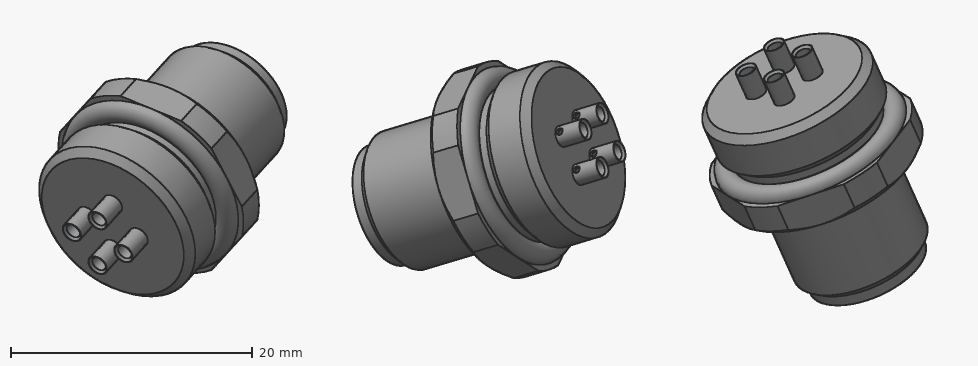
import cadquery as cq
import math

pins_front = 0
body_front = 2.41
body_back = 6.94
hex_front = 8.47
hex_back = 11.49
collar_back = 11.72
shank_back = 20.5
nose_back = 21.55

body_diameter = 15.2
groove_diameter = 13.5
collar_diameter = 12.28
shank_diameter = 12.0
nose_diameter = 10.45
body_chamfer = 0.7
shank_chamfer = 0.6

hex_across_flats = 17.0
hex_corner_diameter = 18.0
hex_chamfer = 0.54

ring_outer_diameter = 17.0
ring_section_radius = 1.01
ring_center_radius = ring_outer_diameter / 2 - ring_section_radius

pin_circle_radius = 2.5
pin_angles = [0, 90, 180, 270]
pin_diameter = 1.8
cup_diameter = 1.3
cup_mouth_chamfer = 0.22
cup_depth = 2.26
cup_tip_angle = 120
cup_tip_depth = cup_diameter / 2 / math.tan(math.radians(cup_tip_angle / 2))
vent_diameter = 0.6
vent_distance = 1.98


def cylinder(diameter, start, end):
    """Cylinder around the Y axis, from Y = start to Y = end."""
    plane = cq.Workplane("XZ", origin=(0, start, 0))
    return plane.circle(diameter / 2).extrude(start - end)


def cone(start_diameter, end_diameter, start, end):
    """Truncated cone around the Y axis, from Y = start to Y = end."""
    return cq.Workplane(
        cq.Solid.makeCone(
            start_diameter / 2,
            end_diameter / 2,
            end - start,
            cq.Vector(0, start, 0),
            cq.Vector(0, 1, 0),
        )
    )


def make_hexagon():
    flats = (
        cq.Workplane("XZ", origin=(0, hex_front, 0))
        .polygon(6, hex_across_flats, circumscribed=True)
        .extrude(hex_front - hex_back)
        .rotate((0, 0, 0), (0, 1, 0), 30)
    )
    turned_blank = cylinder(hex_corner_diameter, hex_front, hex_back)
    turned_blank = turned_blank.faces(">Y").chamfer(hex_chamfer)
    return flats.intersect(turned_blank)


def make_sealing_ring():
    return (
        cq.Workplane("XY")
        .center(ring_center_radius, hex_front)
        .circle(ring_section_radius)
        .revolve(360, (-ring_center_radius, 0), (-ring_center_radius, 1))
    )


def make_body():
    front_disc = cylinder(body_diameter, body_front, body_back).edges().chamfer(body_chamfer)
    groove = cylinder(groove_diameter, body_back, hex_front)
    collar = cone(collar_diameter, shank_diameter, hex_back, collar_back)
    shank = cylinder(shank_diameter, hex_back, shank_back)
    shank = shank.faces(">Y").chamfer(shank_chamfer)
    nose = cylinder(nose_diameter, shank_back, nose_back)
    body = front_disc.union(groove).union(make_hexagon()).union(make_sealing_ring())
    return body.union(collar).union(shank).union(nose)


def make_cup():
    """Cutter for a solder cup on the Y axis: chamfered mouth, bore and conical bottom."""
    bore_radius = cup_diameter / 2
    return (
        cq.Workplane("XY")
        .moveTo(0, pins_front)
        .lineTo(bore_radius + cup_mouth_chamfer, pins_front)
        .lineTo(bore_radius, pins_front + cup_mouth_chamfer)
        .lineTo(bore_radius, cup_depth)
        .lineTo(0, cup_depth + cup_tip_depth)
        .close()
        .revolve(360, (0, 0), (0, 1))
    )


def make_vent():
    """Cutter for the vent hole from the -X side of a pin into its cup."""
    return (
        cq.Workplane("YZ", origin=(-pin_diameter / 2, 0, 0))
        .center(vent_distance, 0)
        .circle(vent_diameter / 2)
        .extrude(pin_diameter / 2)
    )


result = make_body()
pin = cylinder(pin_diameter, pins_front, body_front)
pin_cut = make_cup().union(make_vent())
for angle in pin_angles:
    x = pin_circle_radius * math.cos(math.radians(angle))
    z = pin_circle_radius * math.sin(math.radians(angle))
    result = result.union(pin.translate((x, 0, z)))
    result = result.cut(pin_cut.translate((x, 0, z)))